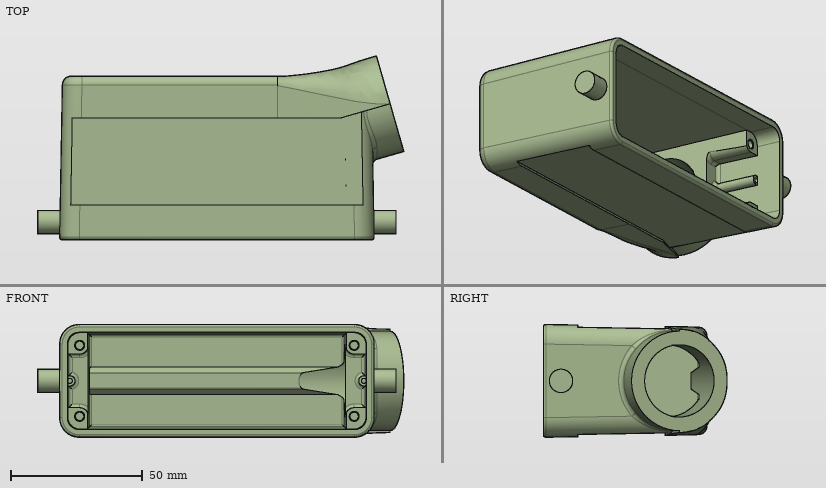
import cadquery as cq
import math


body_length = 119.7
body_width = 43.01
body_depth = 62.3
draft = 1.0
corner_radius = 7.5
back_radius = 3.5
mouth_radius = 1.0
wall = 3.0

pin_span = 136.4
pin_diameter = 8.9
pin_depth = 6.75

recess_front = 13.2
recess_back = 46.3
recess_cut = 0.85

outlet_angle = 16.0
outlet_radius = 18.93
outlet_half_width = 19.7
outlet_end_x = 65.91
outlet_end_y = 51.77
bore_radius = 13.75
crease_radius = 2.0
fairing_start_x = 23.0
fairing_start_edge = 58.7
fairing_swell_x = 34.0
fairing_swell_edge = 56.5
fairing_swell_top = 63.1
fairing_swell_corner = 7.5
fairing_middle_x = 44.8
fairing_middle_edge = 54.2
fairing_middle_top = 65.0
fairing_middle_corner = 13.0
fairing_neck_length = 11.0
fairing_neck_half_width = 20.1
fairing_neck_edge = 52.4
fairing_neck_crown = 18.6
fairing_skirt = 14.0
crown_flat = 0.2

mouth_corner_radius = 4.5
shelf_depth = 28.0
shelf_fillet = 1.4
deep_length = 98.6
deep_draft = 1.1
floor_fillet = 0.7
ridge_top_width = 6.1
ridge_base_width = 10.5
ridge_height = 3.2
ridge_fillet = 0.6

post_top = 10.0
post_x = 52.2
post_z = 13.5
post_radius = 3.3
screw_hole_diameter = 3.2
screw_hole_depth = 15.0
screw_chamfer = 0.3
screw_chamfer_angle = 45.0
end_post_x = 55.9
end_post_radius = 1.95
end_post_hole_diameter = 1.9
end_post_hole_depth = 10.0

lean = math.radians(outlet_angle)
outlet_direction = (math.cos(lean), math.sin(lean), 0)


def depth_plane(y):
    """Work plane across the hood at depth y, extruding toward the back."""
    return cq.Workplane(cq.Plane(origin=(0, y, 0), xDir=(1, 0, 0), normal=(0, 1, 0)))


def axis_y(x):
    """Y of the outlet axis at x."""
    return outlet_end_y + (x - outlet_end_x) * math.tan(lean)


def half_width_at(y):
    """Half width of the drafted shell at depth y."""
    return body_width / 2 - y * math.tan(math.radians(draft))


def make_drafted_block(depth):
    """Tapering block with rounded long corners, as deep as asked."""
    block = depth_plane(0).rect(body_length, body_width).extrude(depth, taper=draft)
    return block.edges("not(<Y or >Y)").fillet(corner_radius)


def make_shell():
    shell = make_drafted_block(body_depth).faces(">Y").edges().fillet(back_radius)
    return shell.faces("<Y").edges().fillet(mouth_radius)


def cut_label_recesses(solid):
    """Shave a shallow drafted flat, running out through the round corners, on each broad face."""
    front_region = make_front_region(-body_length, recess_front)
    floor_front = half_width_at(recess_front) - recess_cut
    floor_back = half_width_at(body_depth) - recess_cut
    for side in (1, -1):
        beyond_floor = (
            cq.Workplane("YZ")
            .moveTo(recess_front, side * floor_front)
            .lineTo(body_depth, side * floor_back)
            .lineTo(body_depth, side * body_width)
            .lineTo(recess_front, side * body_width)
            .close()
            .extrude(body_length, both=True)
        )
        solid = solid.cut(beyond_floor.intersect(front_region))
    return solid


def outlet_cylinder(radius, length):
    """Round bar along the outlet axis, running back into the hood from the leaning end face."""
    end_plane = cq.Plane(
        origin=(outlet_end_x, outlet_end_y, 0), xDir=(0, 0, -1), normal=outlet_direction
    )
    return cq.Workplane(end_plane).circle(radius).extrude(-length)


def make_front_region(start_x, start_y):
    """Space from the given start to the recess's back edge and, further out, to the outlet axis."""
    bend_x = outlet_end_x - (outlet_end_y - recess_back) / math.tan(lean)
    return (
        cq.Workplane("XY")
        .moveTo(start_x, start_y)
        .lineTo(start_x, recess_back)
        .lineTo(bend_x, recess_back)
        .lineTo(body_length, axis_y(body_length))
        .lineTo(body_length, start_y)
        .close()
        .extrude(body_width, both=True)
    )


def make_outlet():
    """Front half of the outlet with the crease against the end wall rounded.

    The rounding runs on an over-deep block, so that it clears the rounded back of the shell.
    """
    block = make_drafted_block(body_depth + outlet_radius)
    joined = block.union(outlet_cylinder(outlet_radius, outlet_end_x - fairing_middle_x))
    end_wall_x = body_length / 2
    crease_point = (end_wall_x, axis_y(end_wall_x) - outlet_radius / math.cos(lean), 0)
    crease = cq.selectors.NearestToPointSelector(crease_point)
    rounded = joined.edges(crease).fillet(crease_radius)
    return rounded.intersect(make_front_region(fairing_middle_x, recess_front))


def fairing_section(x, edge_y, normal, rise, half_width, corner):
    """Wire with drafted sides ending at (x, edge_y) and a crown of the given rise.

    The crown has elliptical corners of the given width joined by a flat.
    """
    flat = half_width - corner
    knee = math.sqrt(0.5)
    foot = half_width + fairing_skirt * math.tan(math.radians(draft))
    plane = cq.Plane(origin=(x, edge_y, 0), xDir=(0, 0, -1), normal=normal)
    section = (
        cq.Workplane(plane)
        .moveTo(-foot, -fairing_skirt)
        .lineTo(-half_width, 0)
        .spline(
            [(-flat - corner * knee, rise * knee), (-flat, rise)],
            tangents=[(0, 1), (1, 0)],
            includeCurrent=True,
        )
        .lineTo(flat, rise)
        .spline(
            [(flat + corner * knee, rise * knee), (half_width, 0)],
            tangents=[(1, 0), (0, -1)],
            includeCurrent=True,
        )
        .lineTo(foot, -fairing_skirt)
        .close()
    )
    return section.val()


def make_fairing():
    """Back corner of the hood, swelling from the shell's own outline into the outlet."""
    upright_sections = [
        fairing_section(x, edge, (1, 0, 0), top - edge, half_width_at(edge), corner)
        for x, edge, top, corner in (
            (fairing_start_x, fairing_start_edge, body_depth, back_radius),
            (fairing_swell_x, fairing_swell_edge, fairing_swell_top, fairing_swell_corner),
            (fairing_middle_x, fairing_middle_edge, fairing_middle_top, fairing_middle_corner),
        )
    ]
    axis_x = outlet_end_x - fairing_neck_length * math.cos(lean)
    edge_height = (fairing_neck_edge - axis_y(axis_x)) / math.cos(lean)
    neck = fairing_section(
        axis_x - edge_height * math.sin(lean),
        fairing_neck_edge,
        outlet_direction,
        fairing_neck_crown - edge_height,
        fairing_neck_half_width,
        fairing_neck_half_width - crown_flat / 2,
    )
    end = fairing_section(
        outlet_end_x,
        outlet_end_y,
        outlet_direction,
        outlet_radius,
        outlet_half_width,
        outlet_half_width - crown_flat / 2,
    )
    fairing = cq.Workplane(cq.Solid.makeLoft(upright_sections + [neck, end]))
    return fairing.cut(make_front_region(0, 0))


def replace_back_corner(solid):
    """Swap the shell's square back corner at the outlet end for the fairing."""
    far_back = 2 * body_depth
    corner = (
        cq.Workplane("XY")
        .moveTo(fairing_start_x, 0)
        .lineTo(body_length, 0)
        .lineTo(body_length, far_back)
        .lineTo(fairing_start_x, far_back)
        .close()
        .extrude(body_width, both=True)
        .cut(make_front_region(0, 0))
    )
    return solid.cut(corner).union(make_fairing())


def make_pins():
    return (
        cq.Workplane("YZ")
        .center(pin_depth, 0)
        .circle(pin_diameter / 2)
        .extrude(pin_span / 2, both=True)
    )


def make_screw_post(side_x, side_z):
    """Corner post with one rounded edge, filling the cavity corner behind it."""
    inner_x = post_x - post_radius
    inner_z = post_z - post_radius
    size_x = body_length / 2 - inner_x
    size_z = body_width / 2 - inner_z
    length = shelf_depth - post_top
    post = (
        depth_plane(post_top)
        .center(side_x * (inner_x + size_x / 2), -side_z * (inner_z + size_z / 2))
        .rect(size_x, size_z)
        .extrude(length)
    )
    inner_edge = cq.selectors.NearestToPointSelector(
        (side_x * inner_x, post_top + length / 2, side_z * inner_z)
    )
    return post.edges(inner_edge).fillet(post_radius)


def make_end_post(side_x):
    return (
        depth_plane(post_top)
        .center(side_x * end_post_x, 0)
        .circle(end_post_radius)
        .extrude(shelf_depth - post_top)
    )


def make_ridge(deep_floor):
    """Sloped ridge along the middle of the cavity floor."""
    crest = deep_floor - ridge_height
    ridge = (
        cq.Workplane("YZ")
        .moveTo(deep_floor, -ridge_base_width / 2)
        .lineTo(crest, -ridge_top_width / 2)
        .lineTo(crest, ridge_top_width / 2)
        .lineTo(deep_floor, ridge_base_width / 2)
        .close()
        .extrude(deep_length / 2, both=True)
    )
    return ridge.faces("<Y").edges("|X").fillet(ridge_fillet)


def make_cavity():
    """Void inside the hood: wide mouth with corner posts, then a deeper middle."""
    deep_floor = body_depth - wall
    mouth = (
        depth_plane(0)
        .rect(body_length - 2 * wall, body_width - 2 * wall)
        .extrude(shelf_depth, taper=draft)
    )
    mouth = mouth.edges("not(<Y or >Y)").fillet(mouth_corner_radius)
    for side_x in (1, -1):
        for side_z in (1, -1):
            mouth = mouth.cut(make_screw_post(side_x, side_z))
        mouth = mouth.cut(make_end_post(side_x))
    mouth = mouth.faces(">Y").edges().fillet(shelf_fillet)

    deep_width = body_width - 2 * wall - 2 * post_top * math.tan(math.radians(draft))
    deep_height = deep_floor - post_top
    divider = depth_plane(post_top).rect(deep_length, body_width).extrude(deep_height, taper=deep_draft)
    deep = depth_plane(post_top).rect(deep_length, deep_width).extrude(deep_height, taper=deep_draft)
    deep = deep.faces(">Y").edges().fillet(floor_fillet)
    mouth = mouth.cut(divider)
    return mouth.union(deep.cut(make_ridge(deep_floor)))


def drill_posts(solid):
    for side_x in (1, -1):
        for side_z in (1, -1):
            hole = (
                depth_plane(post_top)
                .center(side_x * post_x, side_z * post_z)
                .circle(screw_hole_diameter / 2)
                .extrude(screw_hole_depth)
            )
            countersink = (
                depth_plane(post_top)
                .center(side_x * post_x, side_z * post_z)
                .circle(screw_hole_diameter / 2 + screw_chamfer)
                .extrude(screw_chamfer, taper=screw_chamfer_angle)
            )
            solid = solid.cut(hole).cut(countersink)
        end_hole = (
            depth_plane(post_top)
            .center(side_x * end_post_x, 0)
            .circle(end_post_hole_diameter / 2)
            .extrude(end_post_hole_depth)
        )
        solid = solid.cut(end_hole)
    return solid


body = cut_label_recesses(make_shell().union(make_outlet()))
body = replace_back_corner(body).union(make_pins())
body = body.cut(make_cavity())
body = body.cut(outlet_cylinder(bore_radius, outlet_end_x))
result = drill_posts(body)